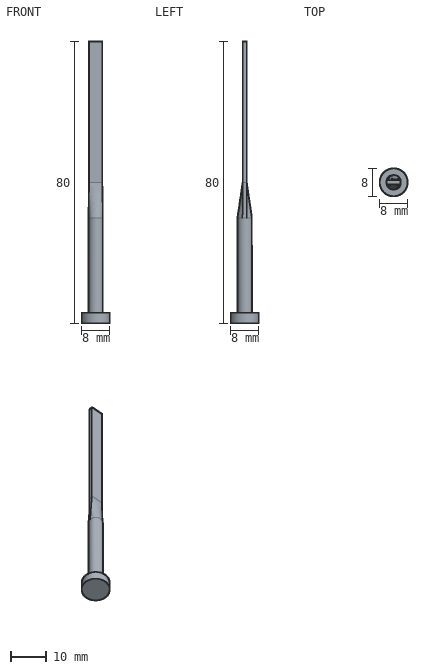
import cadquery as cq

total_length = 80.0
head_diameter = 8.0
head_height = 3.0
shank_diameter = 4.2
blade_length = 40.0
blade_width = 3.8
blade_thickness = 1.2
transition_length = 10.0

blade_base = total_length - blade_length
shank_top = blade_base - transition_length

head = cq.Workplane("XY").circle(head_diameter / 2).extrude(head_height)
shank = cq.Workplane("XY").circle(shank_diameter / 2).extrude(shank_top)

transition = (
    cq.Workplane("XY", origin=(0, 0, shank_top))
    .circle(shank_diameter / 2)
    .workplane(offset=transition_length)
    .rect(blade_width, blade_thickness)
    .loft(ruled=True)
)

blade = (
    cq.Workplane("XY", origin=(0, 0, blade_base))
    .rect(blade_width, blade_thickness)
    .extrude(blade_length)
)

result = head.union(shank).union(transition).union(blade)